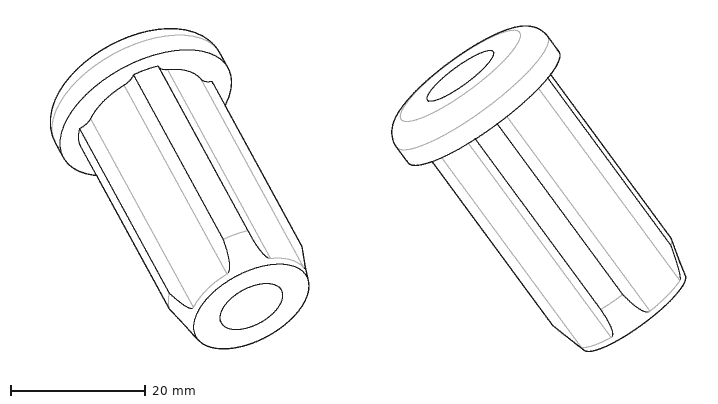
import cadquery as cq
import math

length = 45.0

head_diameter = 28.0
head_thickness = 6.0
head_round = 3.0

rib_radius = 11.0
stem_radius = 9.68
rib_count = 4
groove_half_angle = 23.5
flank_radius = 2.5
groove_clearance = 2.25

tip_length = 5.85
tip_angle = 15.0

bore_diameter = 10.2
counterbore_diameter = 12.2
counterbore_depth = 4.5

pitch_angle = 360 / rib_count
half_pitch = pitch_angle / 2


def polar(radius, degrees):
    angle = math.radians(degrees)
    return radius * math.cos(angle), radius * math.sin(angle)


def make_head():
    head = cq.Workplane("YZ").circle(head_diameter / 2).extrude(head_thickness)
    return head.faces("<X").edges().fillet(head_round)


def make_groove_tool():
    """Space between two ribs, centred on the +Y direction, with concave flanks."""
    centre_radius = stem_radius + flank_radius
    turn = math.degrees(math.acos(
        (centre_radius**2 + rib_radius**2 - flank_radius**2) / (2 * centre_radius * rib_radius)
    ))
    edge_angle = groove_half_angle + turn

    def flank_middle(side):
        centre = polar(centre_radius, side * groove_half_angle)
        foot = polar(stem_radius, side * groove_half_angle)
        edge = polar(rib_radius, side * edge_angle)
        chord = ((foot[0] + edge[0]) / 2 - centre[0], (foot[1] + edge[1]) / 2 - centre[1])
        reach = flank_radius / math.hypot(*chord)
        return centre[0] + chord[0] * reach, centre[1] + chord[1] * reach

    clear_radius = rib_radius + groove_clearance
    return (
        cq.Workplane("YZ", origin=(head_thickness, 0, 0))
        .moveTo(*polar(stem_radius, -groove_half_angle))
        .threePointArc((stem_radius, 0), polar(stem_radius, groove_half_angle))
        .threePointArc(flank_middle(1), polar(rib_radius, edge_angle))
        .lineTo(*polar(clear_radius, edge_angle))
        .threePointArc((clear_radius, 0), polar(clear_radius, -edge_angle))
        .lineTo(*polar(rib_radius, -edge_angle))
        .threePointArc(flank_middle(-1), polar(stem_radius, -groove_half_angle))
        .close()
        .extrude(length - head_thickness)
    )


def make_stem():
    tip_radius = rib_radius - tip_length * math.tan(math.radians(tip_angle))
    stem = (
        cq.Workplane("XY")
        .polyline([
            (head_thickness, 0),
            (length, 0),
            (length, tip_radius),
            (length - tip_length, rib_radius),
            (head_thickness, rib_radius),
        ])
        .close()
        .revolve(360, (0, 0, 0), (1, 0, 0))
    )
    groove = make_groove_tool()
    for index in range(rib_count):
        angle = half_pitch + index * pitch_angle
        stem = stem.cut(groove.rotate((0, 0, 0), (1, 0, 0), angle))
    return stem


def make_bore():
    bore = cq.Workplane("YZ").circle(bore_diameter / 2).extrude(length)
    counterbore = cq.Workplane("YZ").circle(counterbore_diameter / 2).extrude(counterbore_depth)
    return bore.union(counterbore)


result = make_head().union(make_stem()).cut(make_bore())